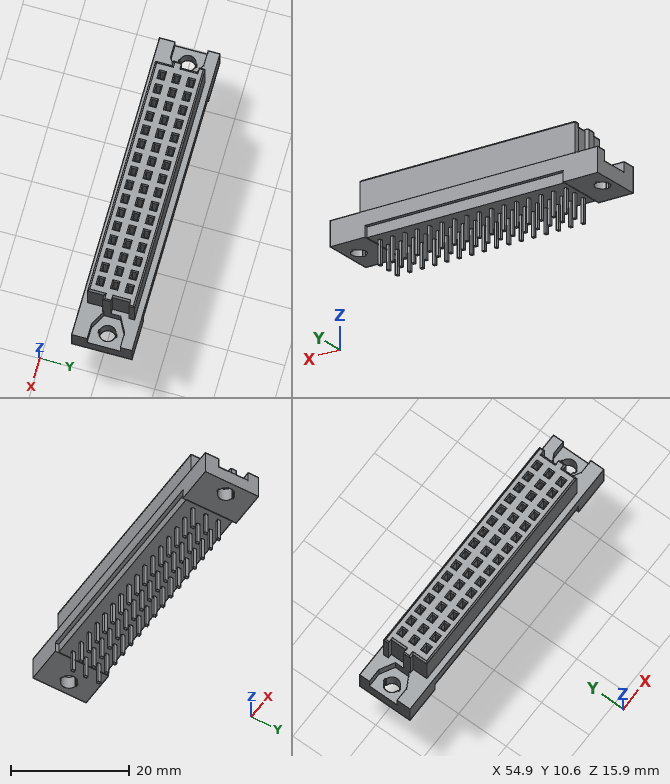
import cadquery as cq

LENGTH = 54.9
WIDTH = 10.6
FLANGE_HEIGHT = 4.85

EAR_LENGTH = 7.15
SKIRT_HEIGHT = 2.15
SKIRT_WIDTH = 9.2
SKIRT_LIFT = 0.15

BLOCK_HEIGHT = 6.5
BLOCK_WIDTH = 8.45
BLOCK_LENGTH = 42.5
LEDGE_LENGTH = 44.15
LEDGE_INNER_Y = 3.25
KEY_MAX_Y = 0.1
KEY_MIN_Y = -1.35

SIDE_BEVEL = 0.3
END_BEVEL = 0.35
TAB_BEVEL = 0.2

MOUNT_X = 25.0
MOUNT_Y = 0.35
MOUNT_DIAMETER = 2.85
KEYWAY_SPAN = 3.2
KEYWAY_WIDTH = 0.55
POCKET_DEPTH = 2.0
POCKET_WIDTH = 5.8
POCKET_END_WIDTH = 2.9
POCKET_STRAIGHT = 2.7

COLUMNS = 16
ROWS = 3
PITCH = 2.54
PIN_X = 0.5
PIN_Y = 0.6
PIN_LENGTH = 4.5
SOCKET_X = 1.15
SOCKET_Y = 0.8
SOCKET_DEPTH = 5.5
MOUTH_BEVEL = (0.2, 0.3)

BLOCK_TOP = FLANGE_HEIGHT + BLOCK_HEIGHT
POCKET_FLOOR = FLANGE_HEIGHT - POCKET_DEPTH
HALF_BLOCK_WIDTH = BLOCK_WIDTH / 2
HALF_BLOCK = BLOCK_LENGTH / 2
HALF_LEDGE = LEDGE_LENGTH / 2


def box(x_range, y_range, z_range):
    """Box spanning the given (low, high) ranges."""
    size = [high - low for low, high in (x_range, y_range, z_range)]
    corner = (x_range[0], y_range[0], z_range[0])
    return cq.Workplane("XY").box(*size, centered=False).translate(corner)


def both_ends(shape):
    """The shape together with its mirror image at the other X end."""
    return shape.union(shape.mirror("YZ"))


def bevel_section(plane, edge, inward, size):
    """Triangle to remove at a top edge; `inward` is the sign of the direction into the block."""
    return cq.Workplane(plane).polyline([
        (edge, BLOCK_TOP - size),
        (edge, BLOCK_TOP),
        (edge + inward * size, BLOCK_TOP),
    ]).close()


def bevel_along_x(edge_y, inward, x_range, size):
    """Bevel cutter along a Y side of the block or key."""
    section = bevel_section("YZ", edge_y, inward, size)
    return section.extrude(x_range[1] - x_range[0]).translate((x_range[0], 0, 0))


def bevel_along_y(edge_x, y_range, size):
    """Bevel cutter at the -X end; XZ extrudes toward -Y, so it starts at the high Y."""
    section = bevel_section("XZ", edge_x, 1, size)
    return section.extrude(y_range[1] - y_range[0]).translate((0, y_range[1], 0))


def make_flange():
    half_length = LENGTH / 2
    half_width = WIDTH / 2
    skirt_x = (EAR_LENGTH - half_length, half_length - EAR_LENGTH)
    flange = box((-half_length, half_length), (-half_width, half_width), (0, FLANGE_HEIGHT))
    flange = flange.cut(box(skirt_x, (-half_width, half_width), (0, SKIRT_HEIGHT)))
    skirt_y = (-SKIRT_WIDTH / 2, SKIRT_WIDTH / 2)
    return flange.union(box(skirt_x, skirt_y, (SKIRT_LIFT, SKIRT_HEIGHT)))


def make_mount_cutter():
    """Open-ended pocket that narrows toward the block, with a keyed through hole, at both ends."""
    half_width = POCKET_WIDTH / 2
    half_end_width = POCKET_END_WIDTH / 2
    outer_x = -LENGTH / 2
    shoulder_x = outer_x + POCKET_STRAIGHT
    pocket = cq.Workplane("XY").polyline([
        (outer_x, MOUNT_Y + half_width),
        (shoulder_x, MOUNT_Y + half_width),
        (-HALF_LEDGE, MOUNT_Y + half_end_width),
        (-HALF_LEDGE, MOUNT_Y - half_end_width),
        (shoulder_x, MOUNT_Y - half_width),
        (outer_x, MOUNT_Y - half_width),
    ]).close().extrude(POCKET_DEPTH).translate((0, 0, POCKET_FLOOR))
    center = cq.Workplane("XY").center(-MOUNT_X, MOUNT_Y)
    hole = center.circle(MOUNT_DIAMETER / 2).extrude(FLANGE_HEIGHT)
    keyway = center.rect(KEYWAY_WIDTH, KEYWAY_SPAN).extrude(FLANGE_HEIGHT)
    return both_ends(pocket.union(hole).union(keyway))


def make_block():
    """Socket block with its ledge and keys, bevelled around the top."""
    ledge_x = (-HALF_LEDGE, HALF_LEDGE)
    ledge_y = (LEDGE_INNER_Y, HALF_BLOCK_WIDTH)
    key_y = (KEY_MIN_Y, KEY_MAX_Y)
    lower_end_y = (-HALF_BLOCK_WIDTH, KEY_MIN_Y)
    upper_end_y = (KEY_MAX_Y, LEDGE_INNER_Y)
    height = (FLANGE_HEIGHT, BLOCK_TOP)

    block = box((-HALF_BLOCK, HALF_BLOCK), (-HALF_BLOCK_WIDTH, HALF_BLOCK_WIDTH), height)
    block = block.union(box(ledge_x, ledge_y, height)).union(box(ledge_x, key_y, height))

    mitre_x = END_BEVEL - HALF_BLOCK
    mitre_y = KEY_MIN_Y + END_BEVEL
    key_bevel = bevel_along_x(KEY_MIN_Y, 1, (-HALF_BLOCK, mitre_x), END_BEVEL)
    mitre = bevel_along_y(-HALF_BLOCK, (KEY_MIN_Y, mitre_y), END_BEVEL).intersect(key_bevel)

    block = block.cut(bevel_along_x(HALF_BLOCK_WIDTH, -1, ledge_x, SIDE_BEVEL))
    block = block.cut(bevel_along_x(-HALF_BLOCK_WIDTH, 1, ledge_x, SIDE_BEVEL))
    end_bevels = [
        bevel_along_y(-HALF_BLOCK, lower_end_y, END_BEVEL),
        bevel_along_y(-HALF_BLOCK, upper_end_y, END_BEVEL),
        bevel_along_y(-HALF_LEDGE, ledge_y, TAB_BEVEL),
        bevel_along_y(-HALF_LEDGE, key_y, TAB_BEVEL),
        bevel_along_x(KEY_MIN_Y, 1, (-HALF_LEDGE, -HALF_BLOCK), END_BEVEL),
        mitre,
    ]
    for bevel in end_bevels:
        block = block.cut(both_ends(bevel))
    return block


def contact_grid(z):
    """Workplane at height z holding one point per contact."""
    return cq.Workplane("XY").workplane(offset=z).rarray(PITCH, PITCH, COLUMNS, ROWS)


def make_pins():
    return contact_grid(-PIN_LENGTH).rect(PIN_X, PIN_Y).extrude(PIN_LENGTH + SKIRT_HEIGHT)


def make_socket_cutter():
    """Blind rectangular holes with a bevelled mouth."""
    bevel_width, bevel_height = MOUTH_BEVEL
    mouth_x = SOCKET_X + 2 * bevel_width
    mouth_y = SOCKET_Y + 2 * bevel_width
    hole = cq.Workplane("XY").rect(SOCKET_X, SOCKET_Y).extrude(-SOCKET_DEPTH)
    mouth = (
        cq.Workplane("XY").rect(mouth_x, mouth_y)
        .workplane(offset=-bevel_height).rect(SOCKET_X, SOCKET_Y)
        .loft(ruled=True)
    )
    socket = hole.union(mouth).val()
    return contact_grid(BLOCK_TOP).eachpoint(socket, combine=False)


result = (
    make_flange()
    .cut(make_mount_cutter())
    .union(make_block().cut(make_socket_cutter()))
    .union(make_pins())
)